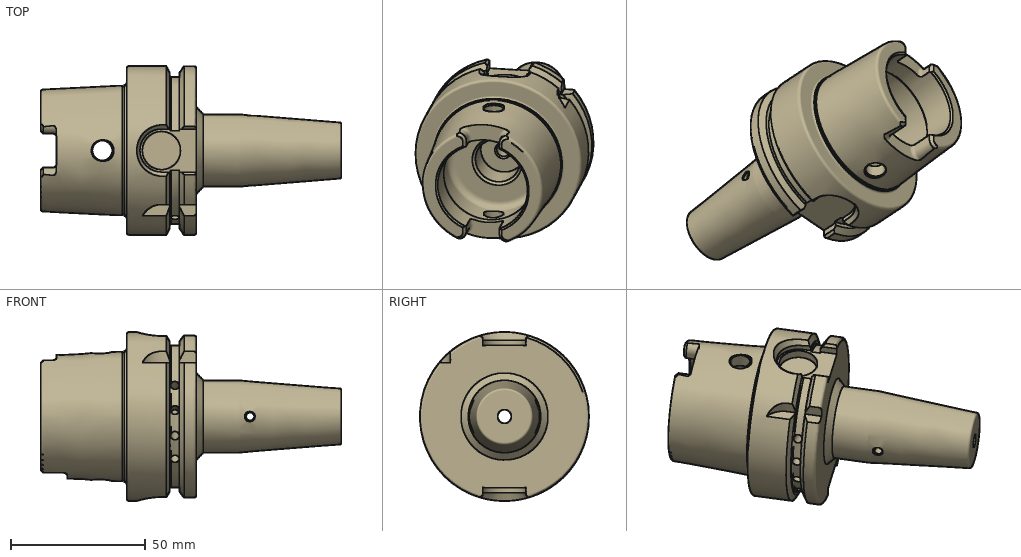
import cadquery as cq
import math


SHANK_LENGTH = 32.0
TAPER_GAUGE_RADIUS = 24.0
TAPER_GAUGE_X = -6.3
TAPER_SLOPE = 0.05
TAPER_TOP_X = -2.4
NECK_GROOVE_RADIUS = 23.9
NECK_GROOVE_X = (-1.6, -0.8)
FLANGE_ROOT_RADIUS = 24.4
SHANK_EDGE_ROUND = 1.1
SHANK_BORE_RADIUS = 17.0
SHANK_BORE_CHAMFER = 0.7
SHANK_BORE_END_X = -19.1
CLAMP_CAVITY_RADIUS = 18.5
CLAMP_SHOULDER_LENGTH = 0.8
CLAMP_CAVITY_FLOOR_X = -2.0
CLAMP_FLOOR_FLAT_RADIUS = 15.8

DRIVE_SLOT_HALF_WIDTH = 6.27
DRIVE_SLOT_LIP_ROUND = 3.0
DRIVE_SLOT_LIP_HEIGHT = 21.0
DRIVE_SLOT_FLOOR_ROUND = 1.25
DRIVE_SLOT_MOUTH_CHAMFER = 1.1
DRIVE_SLOT_CUT_HALF_WIDTH = 14.0
UPPER_SLOT_DEPTH = 5.9
LOWER_SLOT_DEPTH = 9.9

ACCESS_HOLE_X = -9.0
ACCESS_HOLE_RADIUS = 3.7
ACCESS_COUNTERSINK_RADIUS = 4.3

FLANGE_RADIUS = 31.5
FLANGE_LENGTH = 26.0
FLANGE_EDGE_ROUND = 1.0
GROOVE_RADIUS = 27.5
GROOVE_LIP_DEPTH = 2.5
GROOVE_OUTER_X = (14.8, 21.4)
GROOVE_INNER_X = (16.1, 19.7)
GROOVE_CORNER_ROUND = 0.5

KEY_SLOT_HALF_WIDTH = 8.0
KEY_SLOT_END_X = 13.0
KEY_SLOT_FLOOR = 26.5
KEY_SLOT_CHAMFER_BOTTOM = 29.2
KEY_FLARE_BOTTOM = 28.4
KEY_FLARE_TOP_RADIUS = 11.2
KEY_FLARE_END_CLEARANCE = 1.2
CHIP_POCKET_RADIUS = 7.1
CHIP_POCKET_DEPTH = 3.3

NOTCH_OFFSET = 20.1
NOTCH_CUTTER_RADIUS = 8.0

BALANCE_HOLE_RADIUS = 1.6
BALANCE_HOLE_DEPTH = 17.0
BALANCE_HOLE_X = 18.0
BALANCE_HOLE_ANGLES = (25, 5, -15, -35)

NOSE_LENGTH = 80.0
NOSE_RADIUS = 13.5
NOSE_TIP_RADIUS = 10.5
NOSE_TAPER_X = 42.0
NOSE_TAPER_SLOPE = (NOSE_RADIUS - NOSE_TIP_RADIUS) / (NOSE_LENGTH - NOSE_TAPER_X)
NOSE_TIP_ROUND = 0.8
NOSE_ROOT_RADIUS = 16.2
NOSE_ROOT_END_X = 28.6

TUBE_SEAT_RADIUS = 8.4
TUBE_SEAT_COUNTERSINK = 1.0
TUBE_SEAT_DEPTH = 12.0
COOLANT_HOLE_RADIUS = 2.5
COOLANT_COUNTERSINK = 0.6

CROSS_HOLE_X = 46.0
CROSS_HOLE_RADIUS = 1.5
CROSS_COUNTERSINK_RADIUS = 2.0


def taper_radius(x):
    return TAPER_GAUGE_RADIUS + TAPER_SLOPE * (x - TAPER_GAUGE_X)


def quarter_round(profile, corner, start_step, end_step):
    """Line up to a corner and round it with a quarter circle between the two steps away from it."""
    start = (corner[0] + start_step[0], corner[1] + start_step[1])
    end = (corner[0] + end_step[0], corner[1] + end_step[1])
    inset = 1 - math.sqrt(0.5)
    middle = (
        corner[0] + inset * (start_step[0] + end_step[0]),
        corner[1] + inset * (start_step[1] + end_step[1]),
    )
    return profile.lineTo(*start).threePointArc(middle, end)


def turned_body():
    """Solid of revolution about X, before any bore, slot or hole."""
    shank_end = -SHANK_LENGTH
    shank_end_radius = taper_radius(shank_end + SHANK_EDGE_ROUND)
    taper_top_radius = taper_radius(TAPER_TOP_X)
    groove_start, groove_end = NECK_GROOVE_X
    rim = FLANGE_RADIUS
    rim_round = FLANGE_EDGE_ROUND
    lip = FLANGE_RADIUS - GROOVE_LIP_DEPTH
    left_wall, right_wall = GROOVE_INNER_X
    left_rim, right_rim = GROOVE_OUTER_X
    groove_round = GROOVE_CORNER_ROUND

    profile = cq.Workplane("XY").moveTo(shank_end, 0)
    profile = quarter_round(
        profile, (shank_end, shank_end_radius), (0, -SHANK_EDGE_ROUND), (SHANK_EDGE_ROUND, 0)
    )
    profile = (
        profile.lineTo(TAPER_TOP_X, taper_top_radius)
        .lineTo(groove_start, taper_top_radius)
        .lineTo(groove_start, NECK_GROOVE_RADIUS)
        .lineTo(groove_end, NECK_GROOVE_RADIUS)
    )

    profile = quarter_round(profile, (0, FLANGE_ROOT_RADIUS), (groove_end, 0), (0, -groove_end))
    profile = quarter_round(profile, (0, rim), (0, -rim_round), (rim_round, 0))
    profile = profile.lineTo(left_rim, rim).lineTo(left_wall, lip)
    profile = quarter_round(profile, (left_wall, GROOVE_RADIUS), (0, groove_round), (groove_round, 0))
    profile = profile.lineTo(right_wall, GROOVE_RADIUS).lineTo(right_wall, lip).lineTo(right_rim, rim)
    profile = quarter_round(profile, (FLANGE_LENGTH, rim), (-rim_round, 0), (0, -rim_round))

    profile = (
        profile.lineTo(FLANGE_LENGTH, NOSE_ROOT_RADIUS)
        .lineTo(NOSE_ROOT_END_X, NOSE_RADIUS)
        .lineTo(NOSE_TAPER_X, NOSE_RADIUS)
    )
    profile = quarter_round(
        profile, (NOSE_LENGTH, NOSE_TIP_RADIUS), (-NOSE_TIP_ROUND, 0), (0, -NOSE_TIP_ROUND)
    )
    return profile.lineTo(NOSE_LENGTH, 0).close().revolve(360, (0, 0), (1, 0))


def x_cylinder(radius, start_x, end_x):
    return cq.Workplane("YZ").workplane(offset=start_x).circle(radius).extrude(end_x - start_x)


def x_cone(start_radius, end_radius, start_x, length):
    return (
        cq.Workplane("YZ").workplane(offset=start_x).circle(start_radius)
        .workplane(offset=length).circle(end_radius).loft(ruled=True)
    )


def x_countersink(radius, size, start_x):
    return x_cone(radius + size, radius, start_x, size)


def axial_bores():
    """Shank bore, clamping cavity, coolant tube seat and coolant hole."""
    shank_end = -SHANK_LENGTH
    floor = CLAMP_CAVITY_FLOOR_X
    seat_end = floor + TUBE_SEAT_DEPTH
    cavity_start = SHANK_BORE_END_X + CLAMP_SHOULDER_LENGTH
    cavity = x_cylinder(CLAMP_CAVITY_RADIUS, cavity_start, floor)
    cavity = cavity.faces(">X").edges().fillet(CLAMP_CAVITY_RADIUS - CLAMP_FLOOR_FLAT_RADIUS)
    return (
        cavity
        .union(x_cone(SHANK_BORE_RADIUS, CLAMP_CAVITY_RADIUS, SHANK_BORE_END_X, CLAMP_SHOULDER_LENGTH))
        .union(x_cylinder(SHANK_BORE_RADIUS, shank_end, SHANK_BORE_END_X))
        .union(x_countersink(SHANK_BORE_RADIUS, SHANK_BORE_CHAMFER, shank_end))
        .union(x_cylinder(TUBE_SEAT_RADIUS, floor, seat_end))
        .union(x_countersink(TUBE_SEAT_RADIUS, TUBE_SEAT_COUNTERSINK, floor))
        .union(x_countersink(COOLANT_HOLE_RADIUS, COOLANT_COUNTERSINK, seat_end))
        .union(x_cylinder(COOLANT_HOLE_RADIUS, seat_end, NOSE_LENGTH))
    )


def drive_slot_outline(plane, growth):
    """Slot cross-section with rounded lips, enlarged all round by growth."""
    half = DRIVE_SLOT_HALF_WIDTH + growth
    lip = DRIVE_SLOT_LIP_ROUND - growth
    lip_z = DRIVE_SLOT_LIP_HEIGHT - DRIVE_SLOT_LIP_ROUND
    wide = half + lip
    arc_y = wide - lip * math.sqrt(0.5)
    arc_z = lip_z + lip * math.sqrt(0.5)
    far_y = DRIVE_SLOT_CUT_HALF_WIDTH
    top = FLANGE_RADIUS
    return (
        plane.moveTo(-half, 0).lineTo(-half, lip_z)
        .threePointArc((-arc_y, arc_z), (-wide, lip_z + lip))
        .lineTo(-far_y, lip_z + lip).lineTo(-far_y, top)
        .lineTo(far_y, top).lineTo(far_y, lip_z + lip)
        .lineTo(wide, lip_z + lip)
        .threePointArc((arc_y, arc_z), (half, lip_z))
        .lineTo(half, 0).close()
    )


def drive_slot(depth):
    """Open-ended slot through the upper wall of the shank, chamfered at the end face."""
    end_plane = cq.Workplane("YZ").workplane(offset=-SHANK_LENGTH)
    slot = drive_slot_outline(end_plane, 0).extrude(depth)
    slot = slot.faces(">X").edges("not(<Z or >Z or <Y or >Y)").fillet(DRIVE_SLOT_FLOOR_ROUND)
    chamfer = DRIVE_SLOT_MOUTH_CHAMFER
    mouth = drive_slot_outline(end_plane, chamfer).workplane(offset=chamfer)
    return slot.union(drive_slot_outline(mouth, 0).loft(ruled=True))


def countersunk_hole(radius, countersink_radius, surface):
    """Through hole along Z, countersunk where it meets the surface at +/- the given height."""
    depth = countersink_radius - radius
    hole = cq.Workplane("XY").circle(radius).extrude(2 * surface, both=True)
    for side in (1, -1):
        cone = (
            cq.Workplane("XY").workplane(offset=side * (surface - depth)).circle(radius)
            .workplane(offset=side * depth).circle(countersink_radius).loft(ruled=True)
        )
        hole = hole.union(cone)
    return hole


def access_hole():
    hole = countersunk_hole(ACCESS_HOLE_RADIUS, ACCESS_COUNTERSINK_RADIUS, taper_radius(ACCESS_HOLE_X))
    return hole.translate((ACCESS_HOLE_X, 0, 0))


def round_ended_slot(half_width, centre_y, floor):
    """Vertical-walled cutter above floor, round at KEY_SLOT_END_X and open toward the nose."""
    length = FLANGE_LENGTH - KEY_SLOT_END_X
    height = FLANGE_RADIUS - floor
    plane = cq.Workplane("XY").workplane(offset=floor)
    end = plane.center(KEY_SLOT_END_X, centre_y).circle(half_width).extrude(height)
    run = plane.center(KEY_SLOT_END_X + length / 2, centre_y).rect(length, 2 * half_width).extrude(height)
    return end.union(run)


def key_slot():
    """Cutter for a slot open toward the nose, flared at its round end and chamfered at its open end."""
    half = KEY_SLOT_HALF_WIDTH
    slot = round_ended_slot(half, 0, KEY_SLOT_FLOOR)

    flare_shift = half + KEY_FLARE_END_CLEARANCE - KEY_FLARE_TOP_RADIUS
    flare = (
        cq.Workplane("XY").workplane(offset=KEY_FLARE_BOTTOM).center(KEY_SLOT_END_X, 0).circle(half)
        .workplane(offset=FLANGE_RADIUS - KEY_FLARE_BOTTOM).center(-flare_shift, 0)
        .circle(KEY_FLARE_TOP_RADIUS).loft(ruled=True)
    )

    groove_middle = sum(GROOVE_INNER_X) / 2
    front_half = cq.Workplane("XY").box(
        groove_middle, 2 * FLANGE_RADIUS, FLANGE_RADIUS, centered=(False, True, False)
    )
    slope = FLANGE_RADIUS - KEY_SLOT_CHAMFER_BOTTOM
    chamfer = (
        cq.Workplane("YZ").workplane(offset=groove_middle)
        .moveTo(-half, KEY_SLOT_CHAMFER_BOTTOM).lineTo(half, KEY_SLOT_CHAMFER_BOTTOM)
        .lineTo(half + slope, FLANGE_RADIUS).lineTo(-half - slope, FLANGE_RADIUS).close()
        .extrude(FLANGE_LENGTH - groove_middle)
    )
    return slot.union(flare.intersect(front_half)).union(chamfer)


def chip_pocket():
    return (
        cq.Workplane("XY").workplane(offset=KEY_SLOT_FLOOR - CHIP_POCKET_DEPTH)
        .center(KEY_SLOT_END_X, 0).circle(CHIP_POCKET_RADIUS).extrude(CHIP_POCKET_DEPTH)
    )


def notch():
    """Cutter for the orientation notch, whose floor and wall are equally far from the axis."""
    return round_ended_slot(NOTCH_CUTTER_RADIUS, -NOTCH_OFFSET - NOTCH_CUTTER_RADIUS, NOTCH_OFFSET)


def balance_hole(angle):
    """Radial blind hole in the groove floor, raised by angle from the -Y direction."""
    floor = GROOVE_RADIUS - BALANCE_HOLE_DEPTH
    hole = (
        cq.Workplane("XZ").workplane(offset=floor)
        .center(BALANCE_HOLE_X, 0).circle(BALANCE_HOLE_RADIUS).extrude(FLANGE_RADIUS - floor)
    )
    return hole.rotate((0, 0, 0), (1, 0, 0), -angle)


def cross_hole():
    surface = NOSE_RADIUS - NOSE_TAPER_SLOPE * (CROSS_HOLE_X - NOSE_TAPER_X)
    hole = countersunk_hole(CROSS_HOLE_RADIUS, CROSS_COUNTERSINK_RADIUS, surface)
    return hole.rotate((0, 0, 0), (1, 0, 0), 90).translate((CROSS_HOLE_X, 0, 0))


def half_turn(shape):
    return shape.rotate((0, 0, 0), (1, 0, 0), 180)


body = turned_body()
body = body.cut(drive_slot(UPPER_SLOT_DEPTH))
body = body.cut(half_turn(drive_slot(LOWER_SLOT_DEPTH)))
body = body.cut(axial_bores())
body = body.cut(access_hole())
body = body.cut(key_slot())
body = body.cut(half_turn(key_slot()))
body = body.cut(chip_pocket())
body = body.cut(notch())
body = body.cut(cross_hole())
for hole_angle in BALANCE_HOLE_ANGLES:
    body = body.cut(balance_hole(hole_angle))
result = body